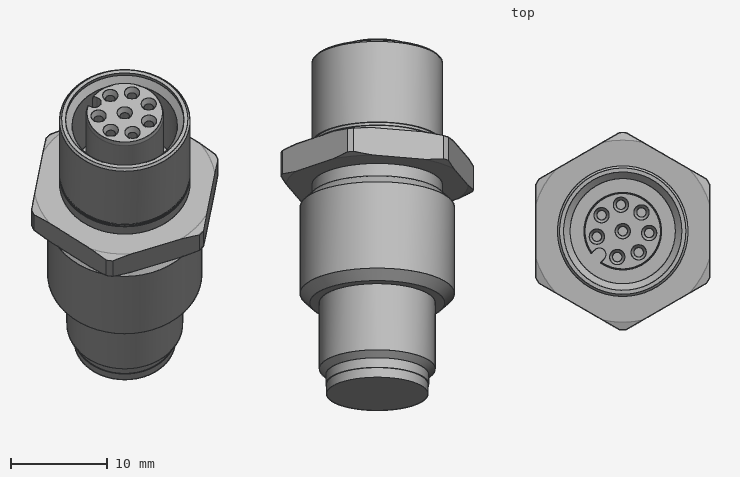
import cadquery as cq
import math

HEIGHT = 37.5

TIP_TOP = 1.05
COLLAR_TOP = 2.1
PLUG_BOTTOM = 2.75
BODY_BOTTOM = 9.98
BODY_TOP = 21.45
HEX_BOTTOM = 22.88
HEX_THICKNESS = 3.0
GROOVE_BOTTOM = 27.08
GROOVE_TOP = 27.4
SLEEVE_TOP = 36.45

TIP_RADIUS = 5.25
COLLAR_RADIUS = 5.32
PLUG_RADIUS = 6.0
BODY_RADIUS = 8.0
SLEEVE_RADIUS = 6.75
GROOVE_RADIUS = 6.65

BODY_CHAMFER = 1.0
SLEEVE_CHAMFER = 0.22

HEX_ACROSS_FLATS = 18.0
HEX_ACROSS_CORNERS = 20.4
HEX_FACE_RADIUS = 9.4
HEX_CHAMFER_HEIGHT = 0.22

SOCKET_RADIUS = 5.45
MOUTH_RADIUS = 6.1
MOUTH_RIM_DEPTH = 0.38
SOCKET_FLOOR = GROOVE_TOP

CARRIER_RADIUS = 4.0
CARRIER_CHAMFER_WIDTH = 0.1
CARRIER_CHAMFER_HEIGHT = 0.45

RING_RADIUS = 2.75
RING_COUNT = 7
RING_STEP_ANGLE = 49.0
HOLE_RADIUS = 0.5
ENTRY_RADIUS = 0.8
ENTRY_DEPTH = 0.6
HOLE_DEPTH = 4.5

KEY_ANGLE = 225.0
KEY_RADIUS = 0.68
KEY_CENTRE_DISTANCE = 3.4


def revolve_profile(points):
    """Turn a closed (radius, height) outline around the Z axis."""
    return cq.Workplane("XZ").polyline(points).close().revolve(360, (0, 0), (0, 1))


def make_housing():
    """Stepped round housing from the plug tip up to the sleeve rim."""
    body_edge = BODY_RADIUS - BODY_CHAMFER
    return revolve_profile([
        (0, 0),
        (TIP_RADIUS, 0),
        (TIP_RADIUS, TIP_TOP),
        (COLLAR_RADIUS, TIP_TOP),
        (COLLAR_RADIUS, COLLAR_TOP),
        (PLUG_RADIUS, PLUG_BOTTOM),
        (PLUG_RADIUS, BODY_BOTTOM),
        (body_edge, BODY_BOTTOM),
        (BODY_RADIUS, BODY_BOTTOM + BODY_CHAMFER),
        (BODY_RADIUS, BODY_TOP - BODY_CHAMFER),
        (body_edge, BODY_TOP),
        (SLEEVE_RADIUS, BODY_TOP),
        (SLEEVE_RADIUS, GROOVE_BOTTOM),
        (GROOVE_RADIUS, GROOVE_BOTTOM),
        (GROOVE_RADIUS, GROOVE_TOP),
        (SLEEVE_RADIUS, GROOVE_TOP),
        (SLEEVE_RADIUS, SLEEVE_TOP - SLEEVE_CHAMFER),
        (SLEEVE_RADIUS - SLEEVE_CHAMFER, SLEEVE_TOP),
        (0, SLEEVE_TOP),
    ])


def make_hex_flange():
    """Hexagon with its corners turned round and chamfered on both faces."""
    corner_radius = HEX_ACROSS_CORNERS / 2
    hex_top = HEX_BOTTOM + HEX_THICKNESS
    sharp_corner_diameter = HEX_ACROSS_FLATS / math.cos(math.radians(30))
    prism = (
        cq.Workplane("XY", origin=(0, 0, HEX_BOTTOM))
        .transformed(rotate=(0, 0, 90))
        .polygon(6, sharp_corner_diameter)
        .extrude(HEX_THICKNESS)
    )
    turned_blank = revolve_profile([
        (0, HEX_BOTTOM),
        (HEX_FACE_RADIUS, HEX_BOTTOM),
        (corner_radius, HEX_BOTTOM + HEX_CHAMFER_HEIGHT),
        (corner_radius, hex_top - HEX_CHAMFER_HEIGHT),
        (HEX_FACE_RADIUS, hex_top),
        (0, hex_top),
    ])
    return prism.intersect(turned_blank)


def make_socket_cavity():
    """Round bore of the sleeve, opening by a 45 degree cone into a short wider rim."""
    cone_top = SLEEVE_TOP - MOUTH_RIM_DEPTH
    cone_bottom = cone_top - (MOUTH_RADIUS - SOCKET_RADIUS)
    return revolve_profile([
        (0, SOCKET_FLOOR),
        (SOCKET_RADIUS, SOCKET_FLOOR),
        (SOCKET_RADIUS, cone_bottom),
        (MOUTH_RADIUS, cone_top),
        (MOUTH_RADIUS, SLEEVE_TOP),
        (0, SLEEVE_TOP),
    ])


def make_contact_hole():
    """Blind hole on the Z axis with a steep conical entry."""
    return revolve_profile([
        (0, HEIGHT - HOLE_DEPTH),
        (HOLE_RADIUS, HEIGHT - HOLE_DEPTH),
        (HOLE_RADIUS, HEIGHT - ENTRY_DEPTH),
        (ENTRY_RADIUS, HEIGHT),
        (0, HEIGHT),
    ])


def make_keyway():
    """Round-ended slot, open outwards, along the full height of the carrier."""
    slot_height = HEIGHT - SOCKET_FLOOR
    base = cq.Workplane("XY", origin=(0, 0, SOCKET_FLOOR))
    round_end = base.center(KEY_CENTRE_DISTANCE, 0).circle(KEY_RADIUS).extrude(slot_height)
    open_length = SOCKET_RADIUS - KEY_CENTRE_DISTANCE
    open_end = (
        base.center(KEY_CENTRE_DISTANCE + open_length / 2, 0)
        .rect(open_length, 2 * KEY_RADIUS)
        .extrude(slot_height)
    )
    return round_end.union(open_end).rotate((0, 0, 0), (0, 0, 1), KEY_ANGLE)


def make_carrier():
    """Contact carrier with its keyway and contact holes."""
    carrier = revolve_profile([
        (0, SOCKET_FLOOR),
        (CARRIER_RADIUS, SOCKET_FLOOR),
        (CARRIER_RADIUS, HEIGHT - CARRIER_CHAMFER_HEIGHT),
        (CARRIER_RADIUS - CARRIER_CHAMFER_WIDTH, HEIGHT),
        (0, HEIGHT),
    ])
    hole = make_contact_hole()
    carrier = carrier.cut(make_keyway()).cut(hole)
    first_angle = KEY_ANGLE - 180 - RING_STEP_ANGLE * (RING_COUNT - 1) / 2
    for index in range(RING_COUNT):
        angle = first_angle + index * RING_STEP_ANGLE
        ring_hole = hole.translate((RING_RADIUS, 0, 0)).rotate((0, 0, 0), (0, 0, 1), angle)
        carrier = carrier.cut(ring_hole)
    return carrier


result = (
    make_housing()
    .union(make_hex_flange())
    .cut(make_socket_cavity())
    .union(make_carrier())
)